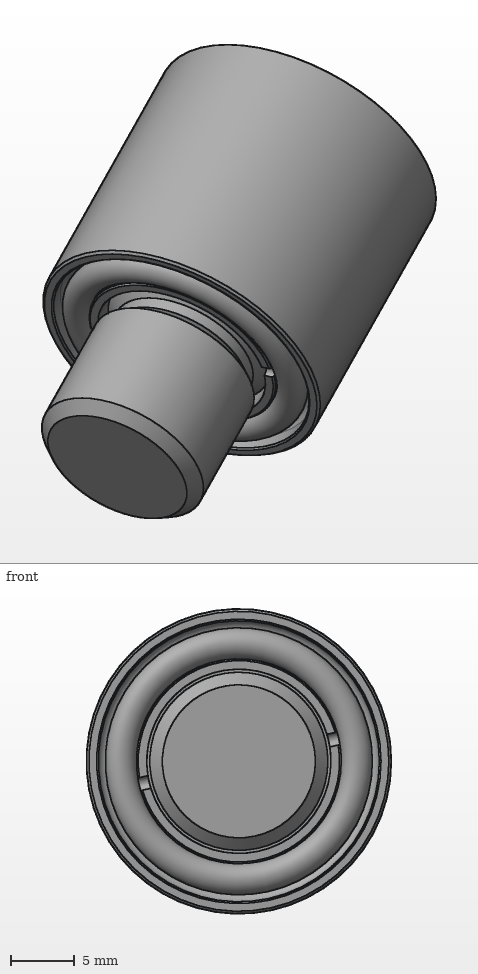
import cadquery as cq
import math


overall_length = 34.0

housing_radius = 12.0
housing_length = 22.05
housing_edge_chamfer = 0.2

oring_tube_radius = 1.22
oring_centre_radius = 9.28
oring_protrusion = 0.35
oring_centre_y = oring_tube_radius - oring_protrusion

sleeve_radius = oring_centre_radius - oring_tube_radius
sleeve_bore_radius = 7.25
sleeve_edge_chamfer = 0.15
sleeve_front_y = 0.2
notch_radius = 0.5
notch_angle = 13

groove_radius = 11.05
groove_mouth_chamfer = 0.15
groove_floor_y = oring_centre_y + oring_tube_radius
groove_corner_radius = 0.75

bore_depth = 15.3

pin_radius = 7.0
pin_chamfer = 1.0
pin_neck_radius = pin_radius - pin_chamfer
pin_tip_y = housing_length - overall_length
pin_head_length = 11.53
pin_head_back_y = pin_tip_y + pin_head_length
pin_neck_length = 1.0
pin_shoulder_y = pin_head_back_y + pin_neck_length


def revolve_about_y(profile):
    """Turn a closed profile, drawn as (radius, y), fully about the Y axis."""
    return profile.revolve(360, (0, 0, 0), (0, 1, 0))


def make_housing():
    """Cylinder with a round-cornered O-ring groove opening into a blind bore."""
    corner_inset = groove_corner_radius * (1 - math.sqrt(0.5))
    profile = (
        cq.Workplane("XY")
        .moveTo(0, bore_depth)
        .lineTo(sleeve_radius, bore_depth)
        .lineTo(sleeve_radius, groove_floor_y)
        .lineTo(groove_radius - groove_corner_radius, groove_floor_y)
        .threePointArc(
            (groove_radius - corner_inset, groove_floor_y - corner_inset),
            (groove_radius, groove_floor_y - groove_corner_radius),
        )
        .lineTo(groove_radius, groove_mouth_chamfer)
        .lineTo(groove_radius + groove_mouth_chamfer, 0)
        .lineTo(housing_radius - housing_edge_chamfer, 0)
        .lineTo(housing_radius, housing_edge_chamfer)
        .lineTo(housing_radius, housing_length)
        .lineTo(0, housing_length)
        .close()
    )
    return revolve_about_y(profile)


def make_oring():
    """Plain torus about the Y axis."""
    profile = cq.Workplane("XY").center(oring_centre_radius, oring_centre_y).circle(oring_tube_radius)
    return profile.revolve(360, (-oring_centre_radius, 0, 0), (-oring_centre_radius, 1, 0))


def make_sleeve():
    """Tube with a chamfered front edge and a round-bottomed notch across its front face."""
    profile = (
        cq.Workplane("XY")
        .moveTo(sleeve_bore_radius, sleeve_front_y)
        .lineTo(sleeve_radius - sleeve_edge_chamfer, sleeve_front_y)
        .lineTo(sleeve_radius, sleeve_front_y + sleeve_edge_chamfer)
        .lineTo(sleeve_radius, bore_depth)
        .lineTo(sleeve_bore_radius, bore_depth)
        .close()
    )
    notch_cutter = (
        cq.Workplane("YZ")
        .center(sleeve_front_y, 0)
        .circle(notch_radius)
        .extrude(housing_radius, both=True)
        .rotate((0, 0, 0), (0, 1, 0), -notch_angle)
    )
    return revolve_about_y(profile).cut(notch_cutter)


def make_pin():
    """Head chamfered at both ends, a neck, and a shank with a chamfered shoulder."""
    profile = (
        cq.Workplane("XY")
        .moveTo(0, pin_tip_y)
        .lineTo(pin_neck_radius, pin_tip_y)
        .lineTo(pin_radius, pin_tip_y + pin_chamfer)
        .lineTo(pin_radius, pin_head_back_y - pin_chamfer)
        .lineTo(pin_neck_radius, pin_head_back_y)
        .lineTo(pin_neck_radius, pin_shoulder_y)
        .lineTo(pin_radius, pin_shoulder_y + pin_chamfer)
        .lineTo(pin_radius, bore_depth)
        .lineTo(0, bore_depth)
        .close()
    )
    return revolve_about_y(profile)


housing = make_housing()
oring = make_oring()
sleeve = make_sleeve()
pin = make_pin()

result = cq.Compound.makeCompound([housing.val(), oring.val(), sleeve.val(), pin.val()])